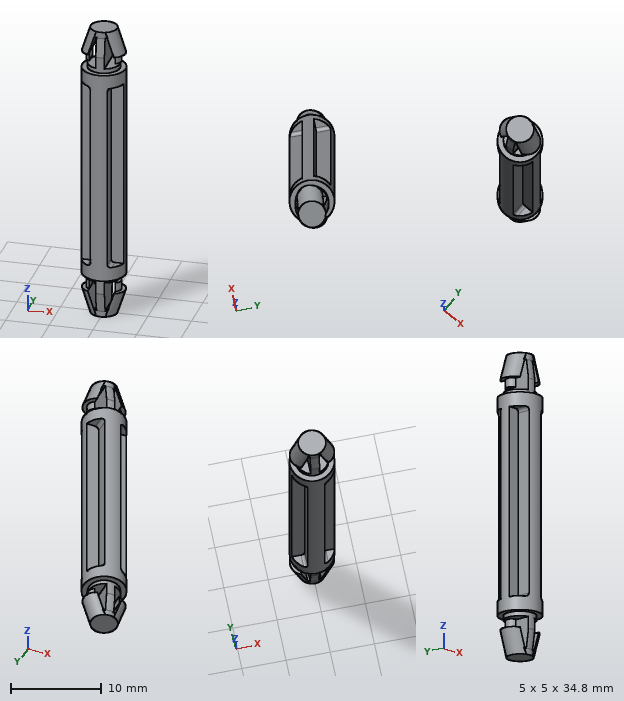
import cadquery as cq
import math

total_length = 34.8
body_radius = 2.5
collar_radius = 1.85
collar_height = 0.52
clip_length = 4.3

pocket_end_margin = 1.6
x_rib_half_thickness = 0.65
y_rib_half_thickness = 0.97
pocket_corner_radius = 0.42

tip_radius = 1.53
tip_depth = 0.73
barb_depth = 2.95
arm_inner_x = 0.52
post_half_thickness = 0.505
pin_length = 1.05
pin_outer_x = 2.02
pin_half_width = 0.8

tip_z = total_length / 2
collar_top = tip_z - clip_length
body_half_length = collar_top - collar_height
barb_z = tip_z - barb_depth


def block(x_min, x_max, half_width, z_min, z_max):
    """Box spanning the given X and Z ranges, centred on Y."""
    return (
        cq.Workplane("XY", origin=((x_min + x_max) / 2, 0, z_min))
        .rect(x_max - x_min, 2 * half_width)
        .extrude(z_max - z_min)
    )


def revolve_profile(points):
    """Solid of revolution about Z from (radius, z) points."""
    return cq.Workplane("XZ").polyline(points).close().revolve(360, (0, 0), (0, 1))


def make_body():
    body = cq.Workplane("XY").circle(body_radius).extrude(body_half_length, both=True)
    pocket_half_length = body_half_length - pocket_end_margin
    for x_side in (-1, 1):
        for y_side in (-1, 1):
            pocket = (
                cq.Workplane("XY")
                .box(body_radius, body_radius, 2 * pocket_half_length)
                .translate((
                    x_side * (y_rib_half_thickness + body_radius / 2),
                    y_side * (x_rib_half_thickness + body_radius / 2),
                    0,
                ))
                .faces("<X" if x_side > 0 else ">X")
                .edges("|Y")
                .fillet(pocket_corner_radius)
            )
            body = body.cut(pocket)
    return body


def make_post():
    """Straight tip disc on a central web that tapers from the collar radius to it."""
    core = revolve_profile([
        (0, collar_top),
        (collar_radius, collar_top),
        (collar_radius, barb_z),
        (tip_radius, tip_z - tip_depth),
        (tip_radius, tip_z),
        (0, tip_z),
    ])
    tip = block(-tip_radius, tip_radius, body_radius, tip_z - tip_depth, tip_z)
    web = block(-post_half_thickness, post_half_thickness, body_radius, body_half_length, tip_z)
    return core.intersect(tip.union(web))


def segment(workplane, inner_x, outer_x, half_width):
    """Circular segment with a straight inner side and an arc bulging to +X."""
    return (
        workplane
        .moveTo(inner_x, -half_width)
        .threePointArc((outer_x, 0), (inner_x, half_width))
        .close()
    )


def make_arm():
    """One +X arm: a leaning bar of constant section with a round outer face."""
    lean = body_radius - tip_radius
    half_width = math.sqrt(tip_radius**2 - arm_inner_x**2)
    lower_plane = cq.Workplane("XY", origin=(0, 0, barb_z))
    lower_end = segment(lower_plane, arm_inner_x + lean, body_radius, half_width)
    upper_plane = lower_end.workplane(offset=barb_depth, origin=(0, 0, barb_z))
    both_ends = segment(upper_plane, arm_inner_x, tip_radius, half_width)
    return both_ends.loft(ruled=True)


def make_pin():
    """Short pin under the +X arm, flush with its inner face."""
    pin_inner_x = arm_inner_x + body_radius - tip_radius
    pin_plane = cq.Workplane("XY", origin=(0, 0, barb_z - pin_length))
    return segment(pin_plane, pin_inner_x, pin_outer_x, pin_half_width).extrude(pin_length)


def make_clip():
    collar = (
        cq.Workplane("XY", origin=(0, 0, body_half_length))
        .circle(collar_radius)
        .extrude(collar_height)
    )
    barb = make_arm().union(make_pin())
    return collar.union(make_post()).union(barb).union(barb.mirror("YZ"))


upper_clip = make_clip()
lower_clip = upper_clip.mirror("XY")
result = make_body().union(upper_clip).union(lower_clip)